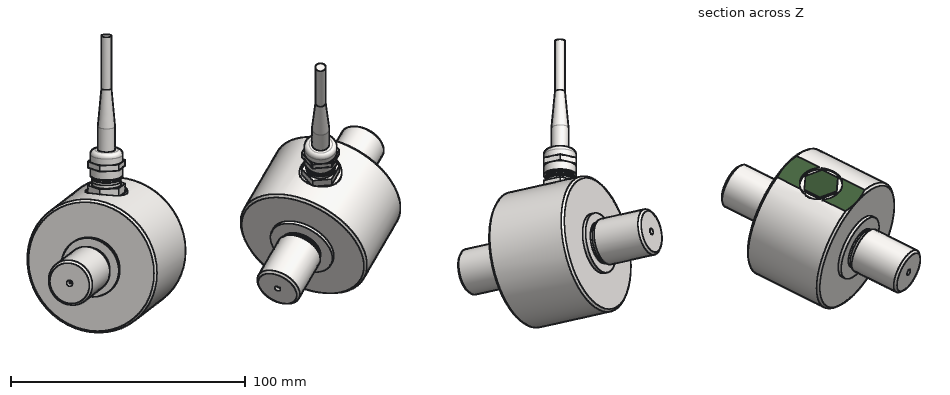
import cadquery as cq
import math

drum_diameter = 59.0
drum_width = 37.1
drum_chamfer = 1.0
overall_length = 90.0
collar_thickness = 1.5
front_collar_diameter = 26.0
rear_collar_diameter = 29.0

stud_diameter = 20.0
neck_diameter = 18.0
neck_length = 0.9
neck_taper_length = 1.5
stud_tip_chamfer = 1.0

centre_hole_diameter = 1.25
centre_hole_depth = 2.5
countersink_diameter = 2.7
countersink_angle = 60
drill_point_angle = 118

seat_diameter = 18.0
seat_z = 27.5

lower_hex_top = 31.4
lower_barb_base = 32.8
lower_barb_tip = 33.7
upper_barb_bottom = 33.9
upper_barb_base = 34.7
cap_bottom = 35.4
upper_hex_bottom = 39.2
upper_hex_top = 41.9
cap_top = 46.9
cap_rounding = 2.0
sleeve_taper_bottom = 57.3
sleeve_top = 74.0
gland_diameter = 14.0
barb_diameter = 12.5
barb_root_diameter = 11.7
sleeve_diameter = 7.5

cable_diameter = 4.5
overall_height = 127.0
cable_top = overall_height - drum_diameter / 2


def cone_depth(radius_change, included_angle):
    """Axial depth over which a cone of the given angle changes radius."""
    return radius_change / math.tan(math.radians(included_angle / 2))


def make_stud(collar_diameter):
    """Collar and centre-drilled stud turned about Z, starting at the drum face and pointing along +Z."""
    length = (overall_length - drum_width) / 2
    radius = stud_diameter / 2
    neck_radius = neck_diameter / 2
    collar_radius = collar_diameter / 2
    neck_end = collar_thickness + neck_length
    hole_radius = centre_hole_diameter / 2
    countersink_radius = countersink_diameter / 2
    countersink_depth = cone_depth(countersink_radius - hole_radius, countersink_angle)
    hole_floor = length - centre_hole_depth
    return (
        cq.Workplane("XZ")
        .polyline([
            (0, 0),
            (collar_radius, 0),
            (collar_radius, collar_thickness),
            (neck_radius, collar_thickness),
            (neck_radius, neck_end),
            (radius, neck_end + neck_taper_length),
            (radius, length - stud_tip_chamfer),
            (radius - stud_tip_chamfer, length),
            (countersink_radius, length),
            (hole_radius, length - countersink_depth),
            (hole_radius, hole_floor),
            (0, hole_floor - cone_depth(hole_radius, drill_point_angle)),
        ])
        .close()
        .revolve(360, (0, 0), (0, 1))
    )


def make_housing():
    """Chamfered drum with both studs and the gland recess."""
    half_width = drum_width / 2
    drum = (
        cq.Workplane("XZ", origin=(0, half_width, 0))
        .circle(drum_diameter / 2)
        .extrude(drum_width)
        .edges()
        .chamfer(drum_chamfer)
    )
    x_axis = (1, 0, 0)
    front_stud = make_stud(front_collar_diameter).rotate((0, 0, 0), x_axis, 90)
    rear_stud = make_stud(rear_collar_diameter).rotate((0, 0, 0), x_axis, -90)
    drum = drum.union(front_stud.translate((0, -half_width, 0)))
    drum = drum.union(rear_stud.translate((0, half_width, 0)))
    seat = (
        cq.Workplane("XY", origin=(0, 0, seat_z))
        .circle(seat_diameter / 2)
        .extrude(drum_diameter / 2 - seat_z)
    )
    return drum.cut(seat).solids()


def make_hexagon(bottom, top):
    """Hexagonal prism with two of its corners on the Y axis."""
    across_corners = gland_diameter / math.cos(math.radians(30))
    return (
        cq.Workplane("XY", origin=(0, 0, bottom))
        .transformed(rotate=(0, 0, 90))
        .polygon(6, across_corners)
        .extrude(top - bottom)
    )


def make_gland():
    """Turned gland with barbed neck, rounded cap and tapered sleeve, plus two hexagons."""
    cap_radius = gland_diameter / 2
    barb_radius = barb_diameter / 2
    root_radius = barb_root_diameter / 2
    sleeve_radius = sleeve_diameter / 2
    diagonal = math.sqrt(0.5)
    rounding_centre_x = cap_radius - cap_rounding
    rounding_centre_z = cap_top - cap_rounding
    rounding_middle = (
        rounding_centre_x + cap_rounding * diagonal,
        rounding_centre_z + cap_rounding * diagonal,
    )
    turned = (
        cq.Workplane("XZ")
        .moveTo(0, seat_z)
        .lineTo(barb_radius, seat_z)
        .lineTo(barb_radius, lower_barb_base)
        .lineTo(root_radius, lower_barb_tip)
        .lineTo(barb_radius, upper_barb_bottom)
        .lineTo(barb_radius, upper_barb_base)
        .lineTo(root_radius, cap_bottom)
        .lineTo(cap_radius, cap_bottom)
        .lineTo(cap_radius, rounding_centre_z)
        .threePointArc(rounding_middle, (rounding_centre_x, cap_top))
        .lineTo(sleeve_radius, cap_top)
        .lineTo(sleeve_radius, sleeve_taper_bottom)
        .lineTo(cable_diameter / 2, sleeve_top)
        .lineTo(0, sleeve_top)
        .close()
        .revolve(360, (0, 0), (0, 1))
    )
    lower_hex = make_hexagon(seat_z, lower_hex_top)
    upper_hex = make_hexagon(upper_hex_bottom, upper_hex_top)
    return turned.union(lower_hex).union(upper_hex).solids()


def make_cable():
    """Round cable standing on the end of the gland sleeve."""
    return (
        cq.Workplane("XY", origin=(0, 0, sleeve_top))
        .circle(cable_diameter / 2)
        .extrude(cable_top - sleeve_top)
    )


housing = make_housing()
gland = make_gland()
cable = make_cable()

result = cq.Compound.makeCompound([housing.val(), gland.val(), cable.val()])